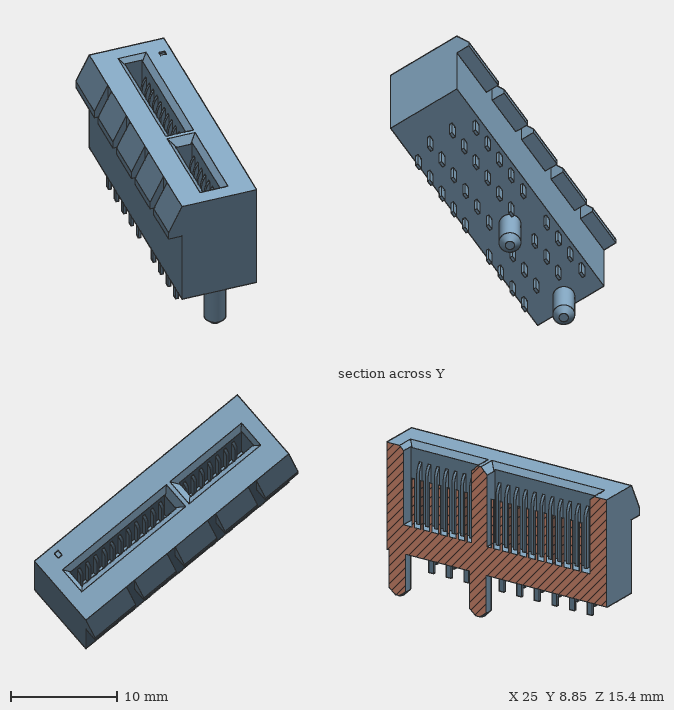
import cadquery as cq
import math

overlap = 0.12

length = 25.0
width = 7.5
height = 11.0

tab_reach = 1.35
tab_height = 3.5
bevel_height = 2.75
tab_count = 5
tab_pitch = length / tab_count
tab_gap = 1.0

contact_pitch = 1.0
first_contact_x = 3.0
left_count = 11
right_count = 7
group_step = 3.0
contact_width = 0.3
contact_reach = 0.45
contact_radius = 2.0
contact_top_depth = 1.8

slot_width = 1.7
slot_depth = 8.0
lead_in_angle = 45
lead_in_side = 0.55
lead_in_end = 0.45
lead_in_key = 0.7
left_slot_start = 1.92
key_start = 13.58
key_end = 15.4
right_slot_end = 23.08

mark_x = 2.15
mark_y = 2.82
mark_length = 0.48
mark_width = 0.58
mark_depth = 0.2

pin_width = 0.55
pin_thickness = 0.28
pin_length = 2.0
inner_row_y = 1.25
outer_row_y = 3.25

post_diameter = 2.08
post_length = 4.4
post_chamfer = 0.6
post_x_positions = (14.65, 23.8)

left_contacts = [first_contact_x + i * contact_pitch for i in range(left_count)]
right_start = left_contacts[-1] + group_step
right_contacts = [right_start + i * contact_pitch for i in range(right_count)]
contact_positions = left_contacts + right_contacts


def box(x_start, x_end, y_center, y_size, z_start, z_end):
    """Box given by its X and Z ends and its centre and size along Y."""
    size_x = x_end - x_start
    size_z = z_end - z_start
    return (
        cq.Workplane("XY")
        .box(size_x, y_size, size_z, centered=(False, True, False))
        .translate((x_start, y_center, z_start))
    )


def front_tab(start, end):
    """Tab on the front wall, bevelled down from the top edge."""
    front = -width / 2
    section = [
        (front + overlap, height),
        (front, height),
        (front - tab_reach, height - bevel_height),
        (front - tab_reach, height - tab_height),
        (front + overlap, height - tab_height),
    ]
    return cq.Workplane("YZ", origin=(start, 0, 0)).polyline(section).close().extrude(end - start)


def card_slot(start, end, lead_in_start, lead_in_finish):
    """Straight pocket joined to its flared mouth; each end has its own lead-in."""
    pocket = box(start, end, 0, slot_width, height - slot_depth, height)
    mouth_start = start - lead_in_start
    mouth_end = end + lead_in_finish
    mouth = (
        cq.Workplane("XY", origin=((mouth_start + mouth_end) / 2, 0, height))
        .rect(mouth_end - mouth_start, slot_width + 2 * lead_in_side)
        .extrude(-max(lead_in_start, lead_in_finish), taper=lead_in_angle)
    )
    return pocket.union(mouth)


def contact_pair(x):
    """Two contacts facing each other across the slot.

    Each stands on the slot floor; its upright face rolls back into the wall along an arc at the top.
    """
    wall_y = slot_width / 2
    face_y = wall_y - contact_reach
    floor_z = height - slot_depth
    top_z = height - contact_top_depth
    roll_angle = math.acos(1 - contact_reach / contact_radius)
    roll_start_z = top_z - contact_radius * math.sin(roll_angle)
    roll_mid_y = face_y + contact_radius * (1 - math.cos(roll_angle / 2))
    roll_mid_z = roll_start_z + contact_radius * math.sin(roll_angle / 2)
    rear = (
        cq.Workplane("YZ", origin=(x - contact_width / 2, 0, 0))
        .moveTo(face_y, floor_z - overlap)
        .lineTo(face_y, roll_start_z)
        .threePointArc((roll_mid_y, roll_mid_z), (wall_y, top_z))
        .lineTo(wall_y + overlap, top_z)
        .lineTo(wall_y + overlap, floor_z - overlap)
        .close()
        .extrude(contact_width)
    )
    return rear, rear.mirror("XZ")


def solder_pin(x, y):
    """Rectangular pin hanging below the housing."""
    half = pin_width / 2
    return box(x - half, x + half, y, pin_thickness, -pin_length, overlap)


def locating_post(x):
    """Round post on the centre plane with a chamfered tip."""
    return (
        cq.Workplane("XY", origin=(x, 0, overlap))
        .circle(post_diameter / 2)
        .extrude(-post_length - overlap)
        .faces("<Z")
        .chamfer(post_chamfer)
    )


result = box(0, length, 0, width, 0, height)

for index in range(tab_count):
    tab_start = index * tab_pitch
    tab_end = tab_start + tab_pitch
    if index > 0:
        tab_start += tab_gap
    result = result.union(front_tab(tab_start, tab_end))

result = result.cut(card_slot(left_slot_start, key_start, lead_in_end, lead_in_key))
result = result.cut(card_slot(key_end, right_slot_end, lead_in_key, lead_in_end))

mark_start = mark_x - mark_length / 2
mark = box(mark_start, mark_start + mark_length, mark_y, mark_width, height - mark_depth, height)
result = result.cut(mark)

for index, x in enumerate(contact_positions):
    row_y = inner_row_y if index % 2 == 0 else outer_row_y
    for contact in contact_pair(x):
        result = result.union(contact)
    for y in (-row_y, row_y):
        result = result.union(solder_pin(x, y))

for x in post_x_positions:
    result = result.union(locating_post(x))